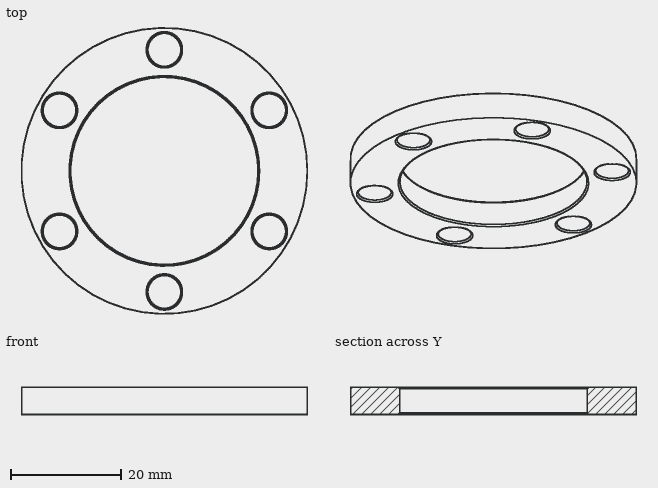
import cadquery as cq

outer_diameter = 52.0
bore_diameter = 34.0
thickness = 5.0

hole_count = 6
hole_diameter = 6.0
bolt_circle_diameter = 44.0
first_hole_angle = 90.0

chamfer = 0.3


def chamfered_cutter(diameter):
    """Through-hole cutter, centred on Z, that widens at both faces of the ring."""
    radius = diameter / 2
    mouth_radius = radius + chamfer
    profile = [
        (0, 0),
        (mouth_radius, 0),
        (radius, chamfer),
        (radius, thickness - chamfer),
        (mouth_radius, thickness),
        (0, thickness),
    ]
    return cq.Workplane("XZ").polyline(profile).close().revolve(360, (0, 0), (0, 1))


ring = cq.Workplane("XY").circle(outer_diameter / 2).extrude(thickness)
result = ring.cut(chamfered_cutter(bore_diameter))

hole_cutter = chamfered_cutter(hole_diameter).translate((bolt_circle_diameter / 2, 0, 0))
for index in range(hole_count):
    angle = first_hole_angle + index * 360 / hole_count
    result = result.cut(hole_cutter.rotate((0, 0, 0), (0, 0, 1), angle))